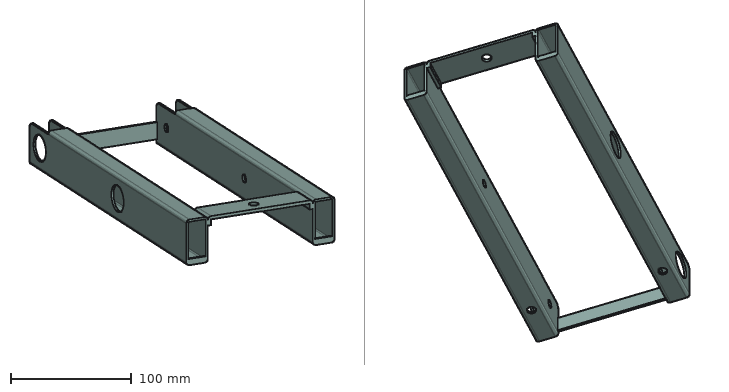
import cadquery as cq

LENGTH = 292.0
WIDTH = 137.0
HEIGHT = 40.0

RAIL_WIDTH = 20.0
RAIL_WALL = 2.0
RAIL_OUTER_RADIUS = 3.0
RAIL_INNER_RADIUS = RAIL_OUTER_RADIUS - RAIL_WALL
RAIL_CENTER_Y = (WIDTH - RAIL_WIDTH) / 2
INNER_FACE_Y = WIDTH / 2 - RAIL_WIDTH

OPEN_LENGTH = 35.0
OPEN_HEIGHT = HEIGHT - RAIL_OUTER_RADIUS
OPEN_CORNER_CHAMFER = 3.0

SIDE_HOLE_FIRST_X = 19.0
SIDE_HOLE_SPACING = 145.0
SIDE_HOLE_XS = (SIDE_HOLE_FIRST_X, SIDE_HOLE_FIRST_X + SIDE_HOLE_SPACING)
SIDE_HOLE_Z = HEIGHT / 2
BOLT_HOLE_DIAMETER = 7.0
ACCESS_HOLE_DIAMETER = 23.0
FLOOR_HOLE_DIAMETER = 7.5
FLOOR_HOLE_X = OPEN_LENGTH

LIP_HEIGHT = 5.5
LIP_THICKNESS = RAIL_WALL

STRIP_THICKNESS = 2.0
STRIP_BOTTOM_Z = 5.0
STRIP_HEIGHT = 15.0

BRACKET_LENGTH = 25.0
BRACKET_THICKNESS = 3.0
BRACKET_DEPTH = 8.0
BRACKET_BEND_RADIUS = 3.0
BRACKET_HOLE_DIAMETER = 8.0


def box(x_min, x_size, y_center, y_size, z_min, z_size):
    """Block placed by its low X and Z faces and its Y centre."""
    return (
        cq.Workplane("XY")
        .box(x_size, y_size, z_size, centered=(False, True, False))
        .translate((x_min, y_center, z_min))
    )


def side_hole(x, y_start, diameter):
    """Cutter along +Y, reaching one wall thickness past each side of the wall it pierces."""
    return (
        cq.Workplane("XZ", origin=(x, y_start - RAIL_WALL, SIDE_HOLE_Z))
        .circle(diameter / 2)
        .extrude(-3 * RAIL_WALL)
    )


def front_opening():
    """Cutter that removes the rail top at the front and chamfers the upper wall corners."""
    return (
        cq.Workplane("XZ", origin=(0, WIDTH, 0))
        .moveTo(0, HEIGHT)
        .lineTo(0, OPEN_HEIGHT - OPEN_CORNER_CHAMFER)
        .lineTo(OPEN_CORNER_CHAMFER, OPEN_HEIGHT)
        .lineTo(OPEN_LENGTH, OPEN_HEIGHT)
        .lineTo(OPEN_LENGTH, HEIGHT)
        .close()
        .extrude(2 * WIDTH)
    )


def make_rail():
    """Rail on the +Y side, with its access holes in the outer wall."""
    tube = box(0, LENGTH, RAIL_CENTER_Y, RAIL_WIDTH, 0, HEIGHT).edges("|X").fillet(RAIL_OUTER_RADIUS)
    bore_width = RAIL_WIDTH - 2 * RAIL_WALL
    bore_height = HEIGHT - 2 * RAIL_WALL
    bore = box(0, LENGTH, RAIL_CENTER_Y, bore_width, RAIL_WALL, bore_height)
    bore = bore.edges("|X").fillet(RAIL_INNER_RADIUS)
    rail = tube.cut(bore).cut(front_opening())

    lip_width = RAIL_WIDTH - RAIL_WALL
    lip_base_z = RAIL_WALL / 2
    lip = box(
        LENGTH - LIP_THICKNESS, LIP_THICKNESS, RAIL_CENTER_Y, lip_width, lip_base_z, LIP_HEIGHT - lip_base_z
    )
    rail = rail.union(lip.intersect(tube))

    for x in SIDE_HOLE_XS:
        rail = rail.cut(side_hole(x, INNER_FACE_Y, BOLT_HOLE_DIAMETER))
        rail = rail.cut(side_hole(x, WIDTH / 2 - RAIL_WALL, ACCESS_HOLE_DIAMETER))

    floor_hole = (
        cq.Workplane("XY", origin=(FLOOR_HOLE_X, RAIL_CENTER_Y, 0))
        .circle(FLOOR_HOLE_DIAMETER / 2)
        .extrude(2 * RAIL_WALL)
    )
    return rail.cut(floor_hole)


def make_strip():
    return box(0, STRIP_THICKNESS, 0, 2 * INNER_FACE_Y, STRIP_BOTTOM_Z, STRIP_HEIGHT)


def make_bracket():
    """Downward-facing channel between the rails with one hole through its web."""
    front_x = LENGTH - BRACKET_LENGTH
    outer_width = 2 * INNER_FACE_Y
    inner_width = outer_width - 2 * BRACKET_THICKNESS
    bottom_z = HEIGHT - BRACKET_DEPTH
    channel = box(front_x, BRACKET_LENGTH, 0, outer_width, bottom_z, BRACKET_DEPTH)
    channel = channel.edges("|X and >Z").fillet(BRACKET_BEND_RADIUS)
    channel = channel.cut(
        box(front_x, BRACKET_LENGTH, 0, inner_width, bottom_z, BRACKET_DEPTH - BRACKET_THICKNESS)
    )
    hole = (
        cq.Workplane("XY", origin=(LENGTH - BRACKET_LENGTH / 2, 0, bottom_z))
        .circle(BRACKET_HOLE_DIAMETER / 2)
        .extrude(BRACKET_DEPTH)
    )
    return channel.cut(hole)


rail = make_rail()
result = rail.union(rail.mirror("XZ")).union(make_strip()).union(make_bracket())